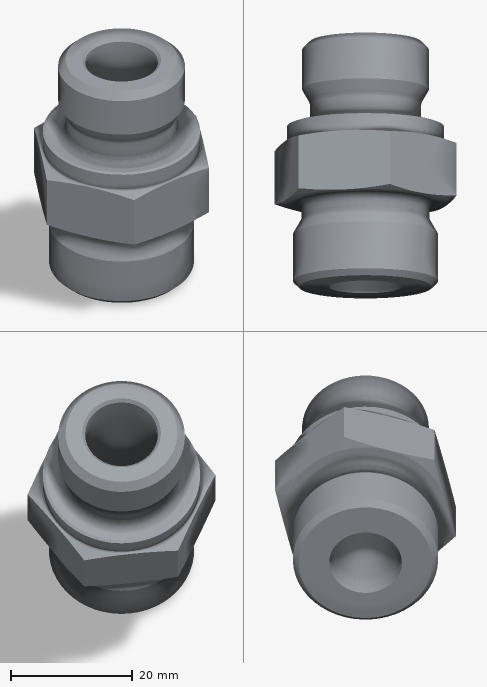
import cadquery as cq
import math

tolerance = 0.005

length = 41.0
across_flats = 27.0
bore_diameter = 12.0
bore_chamfer = 0.5

lower_radius = 24.0 / 2
lower_groove_radius = 21.1 / 2
lower_chamfer = 1.0
lower_thread_top = 8.85

hex_bottom = 14.02
hex_top = 24.0
hex_chamfer_angle = 15.0

collar_radius = 26.0 / 2
collar_top = 26.98
collar_edge_width = 0.5
collar_edge_height = 0.15
collar_dish_angle = 8.0
collar_fillet = 1.2

upper_radius = 20.95 / 2
upper_groove_radius = 18.4 / 2
upper_thread_bottom = 33.1
upper_chamfer = 1.25

runout_slope = math.tan(math.radians(30))
groove_fillet = 1.0
lower_runout_top = lower_thread_top + (lower_radius - lower_groove_radius) / runout_slope
upper_runout_bottom = upper_thread_bottom - (upper_radius - upper_groove_radius) / runout_slope

collar_rim_radius = collar_radius - collar_edge_width
dish_width = collar_rim_radius - upper_groove_radius
dish_bottom = collar_top - dish_width * math.tan(math.radians(collar_dish_angle))


def revolve(points):
    """Turn an (r, z) outline around the Z axis."""
    return cq.Workplane("XZ").polyline(points).close().revolve(360, (0, 0), (0, 1))


def round_groove(body, radius, height, fillet_radius):
    """Fillet the groove edge of the given radius at the given height."""
    def is_corner(edge):
        box = edge.BoundingBox()
        return abs(box.xmax - radius) < tolerance and abs(box.center.z - height) < tolerance

    corners = [edge for edge in body.edges("%CIRCLE").vals() if is_corner(edge)]
    return body.newObject(corners).fillet(fillet_radius)


def make_hexagon():
    """Hexagon with two flats facing X and its corners bevelled at both ends."""
    corner_radius = across_flats / math.sqrt(3)
    flat_radius = across_flats / 2
    bevel_drop = (corner_radius - flat_radius) * math.tan(math.radians(hex_chamfer_angle))
    prism = (
        cq.Workplane("XY")
        .workplane(offset=hex_bottom)
        .polygon(6, 2 * corner_radius)
        .extrude(hex_top - hex_bottom)
        .rotate((0, 0, 0), (0, 0, 1), 30)
    )
    bevel_envelope = revolve([
        (0, hex_bottom),
        (flat_radius, hex_bottom),
        (corner_radius, hex_bottom + bevel_drop),
        (corner_radius, hex_top - bevel_drop),
        (flat_radius, hex_top),
        (0, hex_top),
    ])
    return prism.intersect(bevel_envelope)


def make_lower_end():
    return revolve([
        (0, 0),
        (lower_radius - lower_chamfer, 0),
        (lower_radius, lower_chamfer),
        (lower_radius, lower_thread_top),
        (lower_groove_radius, lower_runout_top),
        (lower_groove_radius, hex_bottom),
        (0, hex_bottom),
    ])


def make_upper_end():
    """Collar, groove and upper thread."""
    return revolve([
        (0, hex_top),
        (collar_radius, hex_top),
        (collar_radius, collar_top - collar_edge_height),
        (collar_rim_radius, collar_top),
        (upper_groove_radius, dish_bottom),
        (upper_groove_radius, upper_runout_bottom),
        (upper_radius, upper_thread_bottom),
        (upper_radius, length - upper_chamfer),
        (upper_radius - upper_chamfer, length),
        (0, length),
    ])


def make_bore():
    """Through bore with a chamfered mouth at the top."""
    radius = bore_diameter / 2
    return revolve([
        (0, 0),
        (radius, 0),
        (radius, length - bore_chamfer),
        (radius + bore_chamfer, length),
        (0, length),
    ])


body = make_hexagon().union(make_lower_end()).union(make_upper_end())
body = round_groove(body, lower_groove_radius, lower_runout_top, groove_fillet)
body = round_groove(body, lower_groove_radius, hex_bottom, groove_fillet)
body = round_groove(body, upper_groove_radius, upper_runout_bottom, groove_fillet)
body = round_groove(body, upper_groove_radius, dish_bottom, collar_fillet)
result = body.cut(make_bore())